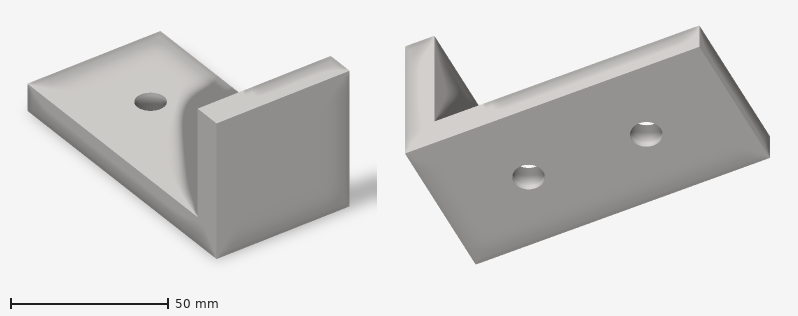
import cadquery as cq

length = 103.7
width = 51.9
height = 51.9
thickness = 10.4
hole_diameter = 10.4
hole_spacing = 41.5

base = cq.Workplane("XY").box(length, width, thickness, centered=(True, True, False))

wall = (
    cq.Workplane("XY")
    .box(thickness, width, height - thickness, centered=(True, True, False))
    .translate(((length - thickness) / 2, 0, thickness))
)

holes = (
    cq.Workplane("XY")
    .pushPoints([(-hole_spacing / 2, 0), (hole_spacing / 2, 0)])
    .circle(hole_diameter / 2)
    .extrude(thickness)
)

result = base.union(wall).cut(holes)